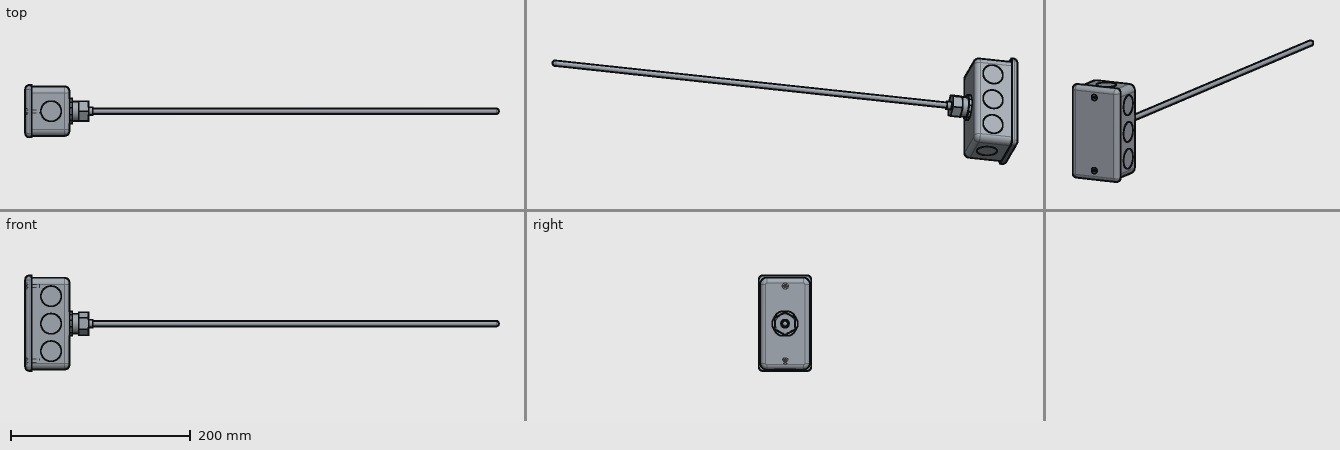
import cadquery as cq
import math

TOTAL_LENGTH = 528.0

COVER_THICKNESS = 7.5
COVER_WIDTH = 58.5
COVER_HEIGHT = 106.5
COVER_CORNER_RADIUS = 5.0
COVER_EDGE_ROUNDING = 5.5

BOX_WIDTH = 55.5
BOX_HEIGHT = 102.5
BOX_DROP = 0.5
BOX_BACK = 49.5
BOX_CORNER_RADIUS = 7.5
BOX_BACK_ROUNDING = 6.0

KNOCKOUT_DIAMETER = 22.5
KNOCKOUT_DEPTH = 0.25
KNOCKOUT_X = 29.0
KNOCKOUT_SPACING = 30.5

SCREW_SPACING = 83.5
SCREW_HEIGHTS = [-SCREW_SPACING / 2, SCREW_SPACING / 2]
SCREW_HEAD_DIAMETER = 7.0
SCREW_SHANK_DIAMETER = 3.5
SCREW_HEAD_HEIGHT = 2.0
SCREW_LENGTH = 16.0
SCREW_SLOT_WIDTH = 1.0
SCREW_SLOT_DEPTH = 1.0

FLANGE_DIAMETER = 28.5
FLANGE_ACROSS_FLATS = 27.5
FLANGE_END = 53.0
NECK_DIAMETER = 22.0
NUT_START = 59.5
NUT_END = 71.0
NUT_CORNER_DIAMETER = 26.0
SLEEVE_DIAMETER = 9.0
SLEEVE_END = 75.5
ROD_DIAMETER = 6.5


def block_along_x(start, end, width, height):
    """Block from x = start to x = end, centred on the X axis."""
    return cq.Workplane("YZ", origin=(start, 0, 0)).rect(width, height).extrude(end - start)


def cylinder_along_x(start, end, diameter, z=0.0):
    """Cylinder from x = start to x = end, its axis at height z above the X axis."""
    return cq.Workplane("YZ", origin=(start, 0, z)).circle(diameter / 2).extrude(end - start)


def hexagon_along_x(start, end, corner_diameter, turn=0):
    """Hexagonal prism with corners at +Y and -Y, turned about the X axis by `turn` degrees."""
    prism = cq.Workplane("YZ", origin=(start, 0, 0)).polygon(6, corner_diameter).extrude(end - start)
    return prism.rotate((0, 0, 0), (1, 0, 0), turn)


def screw_outline(z):
    """Flat-topped head and shank, flush with the cover's outer face."""
    head = cylinder_along_x(0, SCREW_HEAD_HEIGHT, SCREW_HEAD_DIAMETER, z)
    return head.union(cylinder_along_x(0, SCREW_LENGTH, SCREW_SHANK_DIAMETER, z))


def make_screw(z):
    """Slotted screw with its axis at height z."""
    slot = cq.Workplane("XY").box(2 * SCREW_SLOT_DEPTH, SCREW_HEAD_DIAMETER, SCREW_SLOT_WIDTH)
    return screw_outline(z).cut(slot.translate((0, 0, z)))


def make_cover():
    """Rounded plate with a counterbored seat for each screw."""
    cover = block_along_x(0, COVER_THICKNESS, COVER_WIDTH, COVER_HEIGHT)
    cover = cover.edges("|X").fillet(COVER_CORNER_RADIUS)
    cover = cover.faces("<X").edges().fillet(COVER_EDGE_ROUNDING)
    for z in SCREW_HEIGHTS:
        cover = cover.cut(screw_outline(z))
    return cover


def make_box():
    """Rounded block behind the cover, with knockouts and screw holes."""
    box = block_along_x(COVER_THICKNESS, BOX_BACK, BOX_WIDTH, BOX_HEIGHT)
    box = box.edges("|X").fillet(BOX_CORNER_RADIUS)
    box = box.faces(">X").edges().fillet(BOX_BACK_ROUNDING)
    box = cut_knockouts(box).translate((0, 0, -BOX_DROP))
    for z in SCREW_HEIGHTS:
        box = box.cut(screw_outline(z))
    return box


def cut_knockouts(box):
    """Three knockouts on each long side, one on each end."""
    disc = cq.Workplane("XY").cylinder(2 * KNOCKOUT_DEPTH, KNOCKOUT_DIAMETER / 2)
    side_disc = disc.rotate((0, 0, 0), (1, 0, 0), 90)
    for side in (-1, 1):
        box = box.cut(disc.translate((KNOCKOUT_X, 0, side * BOX_HEIGHT / 2)))
        for row in (-1, 0, 1):
            place = (KNOCKOUT_X, side * BOX_WIDTH / 2, row * KNOCKOUT_SPACING)
            box = box.cut(side_disc.translate(place))
    return box


def make_flange():
    """Round disc against the box, with six wrench flats."""
    corner_diameter = FLANGE_ACROSS_FLATS / math.cos(math.pi / 6)
    hexagon = hexagon_along_x(BOX_BACK, FLANGE_END, corner_diameter)
    return hexagon.intersect(cylinder_along_x(BOX_BACK, FLANGE_END, FLANGE_DIAMETER))


def make_probe():
    """Fitting and round-tipped rod: neck, sleeve and rod turned, then flange and nut added."""
    profile = (
        cq.Workplane("XY")
        .moveTo(BOX_BACK, 0)
        .lineTo(BOX_BACK, -NECK_DIAMETER / 2)
        .lineTo(NUT_START, -NECK_DIAMETER / 2)
        .lineTo(NUT_START, -SLEEVE_DIAMETER / 2)
        .lineTo(SLEEVE_END, -SLEEVE_DIAMETER / 2)
        .lineTo(SLEEVE_END, -ROD_DIAMETER / 2)
        .lineTo(TOTAL_LENGTH - ROD_DIAMETER / 2, -ROD_DIAMETER / 2)
        .radiusArc((TOTAL_LENGTH, 0), -ROD_DIAMETER / 2)
        .close()
    )
    turned = profile.revolve(360, (0, 0, 0), (1, 0, 0))
    nut = hexagon_along_x(NUT_START, NUT_END, NUT_CORNER_DIAMETER, turn=90)
    return turned.union(make_flange()).union(nut).translate((0, 0, -BOX_DROP))


cover = make_cover()
box = make_box()
screws = [make_screw(z) for z in SCREW_HEIGHTS]
probe = make_probe()

result = cq.Compound.makeCompound(
    [cover.val(), box.val(), *[screw.val() for screw in screws], probe.val()]
)